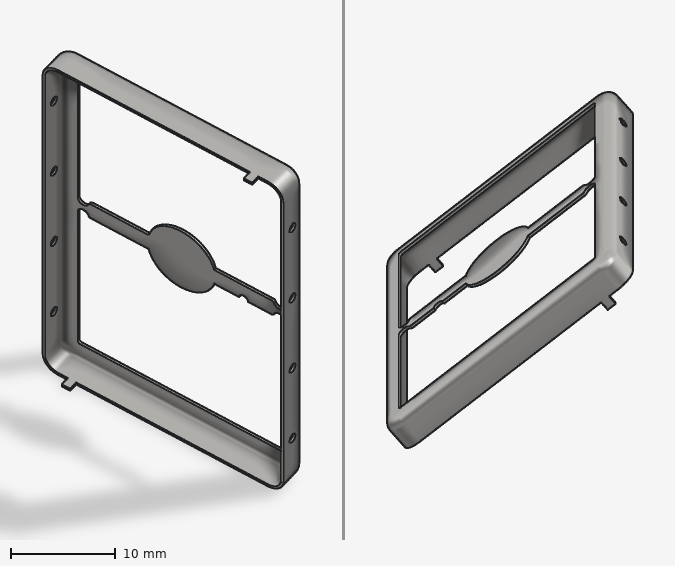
import cadquery as cq

width = 28.4
height = 43.4
total_depth = 4.3
wall = 0.3
corner_radius = 1.85
back_radius = 1.0
tab_length = 1.0
tab_width = 1.0
tab_offset = 10.7
tray_depth = total_depth - tab_length

window_margin = 2.0
window_corner_radius = 0.3
window_width = width - 2 * window_margin
window_height = height - 2 * window_margin

disc_radius = 4.0
bar_height = 2.0
neck_height = 0.7
relief_radius = (bar_height - neck_height) / 2
bar_end_radius = 0.3
notch_radius = 0.5
notch_x = 7.35

hole_diameter = 1.0
hole_spacing = 10.0
hole_count = 4
hole_from_back = 1.82


def block(size_x, size_z, front_y, depth):
    """Box centred on X and Z, running from front_y toward +Y."""
    return cq.Workplane("XY").box(size_x, depth, size_z).translate((0, front_y + depth / 2, 0))


def rounded_block(size_x, size_z, depth, side_radius, floor_radius):
    """Block with rounded corners and a rounded +Y edge."""
    body = block(size_x, size_z, 0, depth).edges("|Y").fillet(side_radius)
    return body.faces(">Y").edges().fillet(floor_radius)


def floor_cylinder(x, z, radius):
    """Cylinder along Y spanning the thickness of the floor."""
    cylinder = cq.Workplane("XZ").circle(radius).extrude(-wall)
    return cylinder.translate((x, tray_depth - wall, z))


def make_tray():
    outer = rounded_block(width, height, tray_depth, corner_radius, back_radius)
    inner = rounded_block(
        width - 2 * wall, height - 2 * wall, tray_depth - wall, corner_radius - wall, back_radius - wall
    )
    window = block(window_width, window_height, 0, tray_depth).edges("|Y").fillet(window_corner_radius)
    return outer.cut(inner).cut(window)


def make_bridge():
    bar = block(window_width, bar_height, tray_depth - wall, wall)
    relief_x = window_width / 2 - relief_radius
    for side in (-1, 1):
        for end in (-1, 1):
            bar = bar.cut(floor_cylinder(side * relief_x, end * bar_height / 2, relief_radius))
    corner_x = relief_x - relief_radius
    reach = (corner_x + relief_radius / 2, tray_depth, bar_height)
    corner_zone = cq.selectors.BoxSelector([-size for size in reach], reach)
    bar = bar.edges("|Y").edges(corner_zone)
    bridge = bar.fillet(bar_end_radius).union(floor_cylinder(0, 0, disc_radius))
    return bridge.cut(floor_cylinder(notch_x, -bar_height / 2, notch_radius))


def make_tab(side):
    """Tab flush with the top (side 1) or bottom (side -1) wall, reaching past the rim."""
    tab = block(tab_width, wall, -tab_length, tab_length + wall)
    return tab.translate((side * tab_offset, 0, side * (height - wall) / 2))


def make_side_holes():
    first_z = -hole_spacing * (hole_count - 1) / 2
    places = [(tray_depth - hole_from_back, first_z + i * hole_spacing) for i in range(hole_count)]
    return cq.Workplane("YZ").pushPoints(places).circle(hole_diameter / 2).extrude(width, both=True)


result = make_tray().union(make_bridge())
for tab_side in (-1, 1):
    result = result.union(make_tab(tab_side))
result = result.cut(make_side_holes())